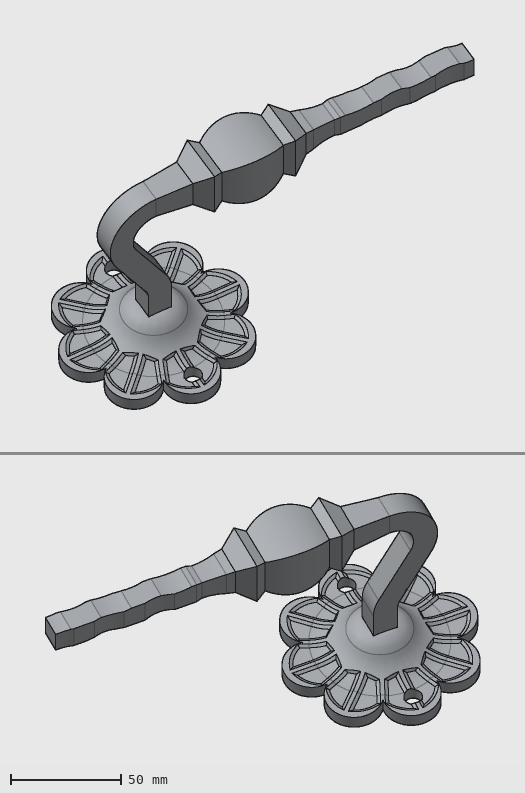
import cadquery as cq
import math

TOTAL_LENGTH = 211.5

PETALS = 8
ROSETTE_DIAMETER = 95.0
PETAL_RADIUS = 13.5
PLATE_THICKNESS = 7.0
SCREW_HOLE_DIAMETER = 8.5
SCREW_HOLE_OFFSET = 36

DOME_HEIGHT = 19.9
SHOULDER_RADIAL = 15.5
SHOULDER_HEIGHT = 15.2
FLARE_END_RADIAL = 32.1

PANEL_DEPTH = 0.8
WALL_SLOPE_WIDTH = 1.59
RIB_WIDTH = 2.1
PANEL_TIP = 44.5
PANEL_CORNER = 36.2
PANEL_EDGE_RADIUS = 17.5
CORE_APOTHEM = 22.2
CLEARANCE = 0.2

BAR = 12.0
POST_HEIGHT = 33.8
LEAN_ANGLE = 30
LOWER_BEND_RADIUS = 13.5
UPPER_BEND_RADIUS = 18.0
HANDLE_HEIGHT = 95.0

TAPER_END = 16.3
COLLAR_SLOPE = 8.5
COLLAR_UNDERCUT = 5.0
BULGE_LENGTH = 32.1
BULGE_WIDTH = 29.8
BULGE_HEIGHT = 28.0
TAIL_BASE_LENGTH = 4.2
TAIL_FLARE_LENGTH = 11.6
NECK_LENGTH = 2.7
TAPER_HALF = 7.5
COLLAR_HALF = 12.5
VALLEY_HALF = 10.2
TAIL_FLARE_HALF = 6.8
NECK_HALF = 5.5

HOLLOW_LENGTH = 14.8
SIDE_HOLLOW_DEPTH = 1.0
TOP_HOLLOW_DEPTH = 0.8
LEFT_HOLLOWS = (112.5, 137.7, 162.9)
RIGHT_HOLLOWS = (123.0, 151.2)
TOP_HOLLOWS = (104.0, 134.0, 164.1)
BOTTOM_HOLLOWS = (112, 141.7)

PETAL_STEP = 360 / PETALS
HALF_STEP = math.radians(PETAL_STEP / 2)
ROSETTE_RADIUS = ROSETTE_DIAMETER / 2
PETAL_CENTRE = ROSETTE_RADIUS - PETAL_RADIUS
FLARE_RUN = FLARE_END_RADIAL - SHOULDER_RADIAL
FLARE_DROP = SHOULDER_HEIGHT - PLATE_THICKNESS
FLARE_RADIUS = (FLARE_RUN**2 + FLARE_DROP**2) / (2 * FLARE_DROP)
FLARE_CENTRE_Z = PLATE_THICKNESS + FLARE_RADIUS
SHOULDER_SLOPE = math.asin(FLARE_RUN / FLARE_RADIUS)
CAP_RADIUS = (DOME_HEIGHT - SHOULDER_HEIGHT) / (1 - math.cos(SHOULDER_SLOPE))
CAP_CENTRE_RADIAL = SHOULDER_RADIAL - CAP_RADIUS * math.sin(SHOULDER_SLOPE)
HANDLE_TIP = TOTAL_LENGTH - ROSETTE_RADIUS
WALL_ANGLE = math.degrees(math.atan(WALL_SLOPE_WIDTH / PANEL_DEPTH))
LEAN = math.radians(LEAN_ANGLE)


def flare_point(angle, radius):
    """Point (radial, Z) of an arc about the flare centre, `angle` inward from straight down."""
    return (FLARE_END_RADIAL - radius * math.sin(angle), FLARE_CENTRE_Z - radius * math.cos(angle))


def around_axis(shape, count):
    """Union of equally spaced copies of a shape about the Z axis."""
    copies = cq.Workplane("XY")
    for i in range(count):
        copies = copies.union(shape.rotate((0, 0, 0), (0, 0, 1), i * 360 / count))
    return copies


def make_plate():
    """Eight overlapping round petals around a solid centre."""
    petal = cq.Workplane("XY").center(PETAL_CENTRE, 0).circle(PETAL_RADIUS).extrude(PLATE_THICKNESS)
    centre = cq.Workplane("XY").circle(PETAL_CENTRE).extrude(PLATE_THICKNESS)
    return centre.union(around_axis(petal, PETALS))


def make_dome():
    """Revolved dome whose concave flare runs out tangent to the plate."""
    cap_mid = (
        CAP_CENTRE_RADIAL + CAP_RADIUS * math.sin(SHOULDER_SLOPE / 2),
        DOME_HEIGHT - CAP_RADIUS * (1 - math.cos(SHOULDER_SLOPE / 2)),
    )
    profile = (
        cq.Workplane("XZ")
        .lineTo(FLARE_END_RADIAL, 0)
        .lineTo(FLARE_END_RADIAL, PLATE_THICKNESS)
        .threePointArc(flare_point(SHOULDER_SLOPE / 2, FLARE_RADIUS), (SHOULDER_RADIAL, SHOULDER_HEIGHT))
        .threePointArc(cap_mid, (CAP_CENTRE_RADIAL, DOME_HEIGHT))
        .lineTo(0, DOME_HEIGHT)
        .close()
    )
    return profile.revolve(360, (0, 0), (0, 1))


def make_panel_space():
    """Revolved space above the panel floors, which lie a constant depth below the flare and plate."""
    floor_radius = FLARE_RADIUS + PANEL_DEPTH
    profile = (
        cq.Workplane("XZ")
        .moveTo(ROSETTE_RADIUS, PLATE_THICKNESS - PANEL_DEPTH)
        .lineTo(FLARE_END_RADIAL, PLATE_THICKNESS - PANEL_DEPTH)
        .threePointArc(
            flare_point(SHOULDER_SLOPE / 2, floor_radius),
            flare_point(SHOULDER_SLOPE, floor_radius),
        )
        .lineTo(SHOULDER_RADIAL, SHOULDER_HEIGHT)
        .lineTo(ROSETTE_RADIUS, SHOULDER_HEIGHT)
        .close()
    )
    return profile.revolve(360, (0, 0), (0, 1))


def make_leaf():
    """Pointed outline of one petal's panels, narrowing downward to give the rim its sloping side."""
    corner = (PANEL_CORNER * math.cos(HALF_STEP), PANEL_CORNER * math.sin(HALF_STEP))
    outline = (
        cq.Workplane("XY", origin=(0, 0, PLATE_THICKNESS))
        .lineTo(corner[0], -corner[1])
        .radiusArc((PANEL_TIP, 0), -PANEL_EDGE_RADIUS)
        .radiusArc(corner, -PANEL_EDGE_RADIUS)
        .close()
    )
    lower = outline.extrude(-PANEL_DEPTH - CLEARANCE, taper=WALL_ANGLE)
    upper = outline.toPending().extrude(SHOULDER_HEIGHT)
    return lower.union(upper)


def make_rib():
    """Radial rib along +X with sloping sides, following the flare and then the flat of the petal."""
    side_slope = WALL_SLOPE_WIDTH / PANEL_DEPTH
    top_half = RIB_WIDTH / 2 - CLEARANCE * side_slope
    bottom_half = RIB_WIDTH / 2 + (PANEL_DEPTH + CLEARANCE) * side_slope
    section = [
        (-top_half, CLEARANCE),
        (top_half, CLEARANCE),
        (bottom_half, -PANEL_DEPTH - CLEARANCE),
        (-bottom_half, -PANEL_DEPTH - CLEARANCE),
    ]
    path = (
        cq.Workplane("XZ")
        .moveTo(ROSETTE_RADIUS, PLATE_THICKNESS)
        .lineTo(FLARE_END_RADIAL, PLATE_THICKNESS)
        .threePointArc(flare_point(SHOULDER_SLOPE / 2, FLARE_RADIUS), (SHOULDER_RADIAL, SHOULDER_HEIGHT))
    )
    start = cq.Workplane("YZ", origin=(ROSETTE_RADIUS, 0, PLATE_THICKNESS))
    return start.polyline(section).close().sweep(path)


def make_core():
    """Octagonal frustum around the dome that ends the panels, its wall angled relative to the flare."""
    rim_angle = math.asin((FLARE_END_RADIAL - CORE_APOTHEM) / FLARE_RADIUS)
    rim_z = flare_point(rim_angle, FLARE_RADIUS)[1]
    across_corners = 2 * CORE_APOTHEM / math.cos(HALF_STEP)
    octagon = (
        cq.Workplane("XY", origin=(0, 0, rim_z))
        .transformed(rotate=(0, 0, PETAL_STEP / 2))
        .polygon(PETALS, across_corners)
    )
    wall = octagon.extrude(-rim_z, taper=math.degrees(rim_angle) - WALL_ANGLE)
    above = octagon.toPending().extrude(SHOULDER_HEIGHT)
    return wall.union(above)


def make_rosette():
    """Petalled plate and dome with sunken panels and two screw holes."""
    panels = (
        make_panel_space()
        .intersect(around_axis(make_leaf(), PETALS))
        .cut(make_core())
        .cut(around_axis(make_rib(), 2 * PETALS))
    )
    holes = (
        cq.Workplane("XY")
        .pushPoints([(-SCREW_HOLE_OFFSET, 0), (SCREW_HOLE_OFFSET, 0)])
        .circle(SCREW_HOLE_DIAMETER / 2)
        .extrude(DOME_HEIGHT)
    )
    return make_plate().union(make_dome()).cut(panels).cut(holes)


def arc_move(start, centre, angle):
    """Middle and end of an arc that turns by `angle` radians about `centre` from `start`."""
    points = []
    dy, dz = start[0] - centre[0], start[1] - centre[1]
    for turn in (angle / 2, angle):
        y = centre[0] + dy * math.cos(turn) - dz * math.sin(turn)
        z = centre[1] + dy * math.sin(turn) + dz * math.cos(turn)
        points.append((y, z))
    return points


POST_TOP = (0, POST_HEIGHT)
LOWER_MID, LEG_START = arc_move(POST_TOP, (-LOWER_BEND_RADIUS, POST_HEIGHT), LEAN)
LEG_RISE = HANDLE_HEIGHT - UPPER_BEND_RADIUS * (1 + math.sin(LEAN)) - LEG_START[1]
LEG_END = (LEG_START[0] - LEG_RISE * math.tan(LEAN), LEG_START[1] + LEG_RISE)
UPPER_CENTRE = (LEG_END[0] + UPPER_BEND_RADIUS * math.cos(LEAN), HANDLE_HEIGHT - UPPER_BEND_RADIUS)
UPPER_MID, BEND_END = arc_move(LEG_END, UPPER_CENTRE, -(math.pi / 2 + LEAN))


def make_bent_bar():
    """Square bar that rises, leans toward -Y and curls over into the handle."""
    path = (
        cq.Workplane("YZ")
        .moveTo(0, PLATE_THICKNESS)
        .lineTo(*POST_TOP)
        .threePointArc(LOWER_MID, LEG_START)
        .lineTo(*LEG_END)
        .threePointArc(UPPER_MID, BEND_END)
    )
    return cq.Workplane("XY", origin=(0, 0, PLATE_THICKNESS)).rect(BAR, BAR).sweep(path)


def handle_outline(plane, bulge_half):
    """Handle silhouette on a plane whose first axis runs across it and second axis along Y."""
    collar_1 = TAPER_END + COLLAR_SLOPE
    bulge_start = collar_1 + COLLAR_UNDERCUT
    bulge_end = bulge_start + BULGE_LENGTH
    collar_2 = bulge_end + COLLAR_UNDERCUT
    tail_base = collar_2 + COLLAR_SLOPE
    flare_start = tail_base + TAIL_BASE_LENGTH
    neck = flare_start + TAIL_FLARE_LENGTH
    flare_drop = TAIL_FLARE_HALF - NECK_HALF
    flare_radius = (TAIL_FLARE_LENGTH**2 + flare_drop**2) / (2 * flare_drop)
    half = (
        plane.moveTo(0, BEND_END[0])
        .lineTo(BAR / 2, BEND_END[0])
        .lineTo(TAPER_HALF, TAPER_END)
        .lineTo(COLLAR_HALF, collar_1)
        .lineTo(VALLEY_HALF, bulge_start)
        .threePointArc((bulge_half, (bulge_start + bulge_end) / 2), (VALLEY_HALF, bulge_end))
        .lineTo(COLLAR_HALF, collar_2)
        .lineTo(TAPER_HALF, tail_base)
        .lineTo(TAIL_FLARE_HALF, flare_start)
        .radiusArc((NECK_HALF, neck), flare_radius)
        .lineTo(BAR / 2, neck + NECK_LENGTH)
        .lineTo(BAR / 2, HANDLE_TIP)
        .lineTo(0, HANDLE_TIP)
    )
    return half.mirrorY()


def make_hollow_cutter(depth, station):
    """Cylinder along X that scoops the +Z face of a bar centred on the Y axis."""
    radius = ((HOLLOW_LENGTH / 2) ** 2 + depth**2) / (2 * depth)
    axis_height = BAR / 2 - depth + radius
    return cq.Workplane("YZ").center(station, axis_height).circle(radius).extrude(BAR, both=True)


def make_handle():
    """Rectangular-section handle: both silhouettes crossed, then hollowed along the tail."""
    span = 2 * COLLAR_HALF + BAR
    top_plane = cq.Workplane("XY")
    side_plane = cq.Workplane(cq.Plane((0, 0, 0), xDir=(0, 0, 1), normal=(-1, 0, 0)))
    handle = handle_outline(top_plane, BULGE_WIDTH / 2).extrude(span, both=True)
    handle = handle.intersect(handle_outline(side_plane, BULGE_HEIGHT / 2).extrude(span, both=True))
    faces = (
        (0, TOP_HOLLOW_DEPTH, TOP_HOLLOWS),
        (90, SIDE_HOLLOW_DEPTH, RIGHT_HOLLOWS),
        (180, TOP_HOLLOW_DEPTH, BOTTOM_HOLLOWS),
        (270, SIDE_HOLLOW_DEPTH, LEFT_HOLLOWS),
    )
    for turn, depth, stations in faces:
        for station in stations:
            cutter = make_hollow_cutter(depth, station)
            handle = handle.cut(cutter.rotate((0, 0, 0), (0, 1, 0), turn))
    return handle.translate((0, 0, HANDLE_HEIGHT))


result = make_rosette().union(make_bent_bar()).union(make_handle())